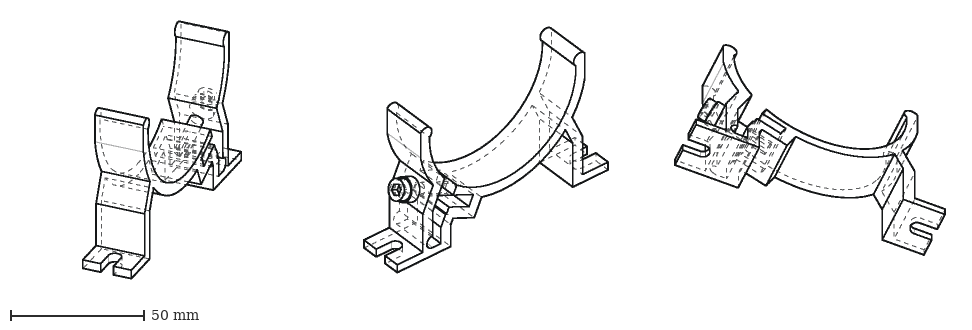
import cadquery as cq
import math

width = 20.0
half_length = 51.0
total_height = 61.5

ring_center_z = 55.1
ring_inner_radius = 35.4
ring_outer_radius = 40.3
half_span = 39.8
bead_radius = 3.0
bead_y = 37.2
bead_z = total_height - bead_radius

foot_thickness = 3.7
wall = 4.8
leg_outer_y = 38.7
leg_inner_y = leg_outer_y - wall
strut_top_z = 33.4
leg_bend_z = 21.6
inner_post_y = 25.1
post_bend_z = 10.3
post_top_z = 16.3
relief_radius = 2.8

slot_width = 5.2
slot_depth = 9.8

tilt = 24.0
screw_tip_y = 17.2
screw_tip_z = 17.8
screw_diameter = 5.3
screw_length = 28.7
head_diameter = 8.6
head_length = 3.5
collar_diameter = 9.8
collar_length = 5.1
hex_across_flats = 4.2
hex_depth = 3.0
channel_width = 5.1
channel_end = 2.1
block_floor_offset = 7.4
block_back = 7.1
block_front = 8.5
block_height = 9.2

lean = math.tan(math.radians(tilt))
bend_drop = wall * math.tan(math.radians(tilt / 2))


def extrude(sketch):
    """Extrude a closed YZ outline over the full width, centred on X = 0."""
    return sketch.extrude(width).translate((-width / 2, 0, 0))


def prism(points):
    return extrude(cq.Workplane("YZ").polyline(points).close())


def cylinder(y, z, radius):
    return extrude(cq.Workplane("YZ").center(y, z).circle(radius))


def tilted(along, up):
    """YZ point from distances along the screw (tip to head) and square to it."""
    c = math.cos(math.radians(tilt))
    s = math.sin(math.radians(tilt))
    return (screw_tip_y + along * c - up * s, screw_tip_z + along * s + up * c)


def tilted_box(along_start, along_end, up_start, up_end):
    corners = [
        (along_start, up_start),
        (along_end, up_start),
        (along_end, up_end),
        (along_start, up_end),
    ]
    return prism([tilted(a, u) for a, u in corners])


def lean_y(y, z_from, z_to):
    """Y reached by a strut face that leans towards the middle."""
    return y - (z_to - z_from) * lean


def make_ring():
    """Solid U-shaped blank with flattened sides, to be bored into the ring."""
    ring = cylinder(0, ring_center_z, ring_outer_radius)
    upper_half = cq.Workplane("XY", origin=(0, 0, ring_center_z))
    ring = ring.cut(upper_half.box(width, 3 * half_span, total_height, centered=(True, True, False)))
    jaws = upper_half.box(width, 2 * half_span, bead_z - ring_center_z, centered=(True, True, False))
    slab = cq.Workplane("XY").box(width, 2 * half_span, 2 * total_height)
    return ring.union(jaws).intersect(slab)


def make_bead(side):
    """Rounded lip at the top of a jaw, flattened flush with the outside."""
    flat = cq.Workplane("XY").box(width, 2 * half_span, 2 * total_height)
    return cylinder(side * bead_y, bead_z, bead_radius).intersect(flat)


def make_strut():
    """Leg on the +Y side: upright from the base, then leaning in to the ring."""
    inner_bend_z = leg_bend_z - bend_drop
    return prism([
        (leg_outer_y, 0),
        (leg_outer_y, leg_bend_z),
        (lean_y(leg_outer_y, leg_bend_z, strut_top_z), strut_top_z),
        (lean_y(leg_inner_y, inner_bend_z, strut_top_z), strut_top_z),
        (leg_inner_y, inner_bend_z),
        (leg_inner_y, 0),
    ])


def make_foot(inner_y):
    """Base plate on the +Y side with an open, round-ended slot."""
    foot = prism([
        (inner_y, 0),
        (half_length, 0),
        (half_length, foot_thickness),
        (inner_y, foot_thickness),
    ])
    slot_center_y = half_length - slot_depth + slot_width / 2
    slot = (
        cq.Workplane("XY")
        .moveTo(-slot_width / 2, half_length)
        .lineTo(-slot_width / 2, slot_center_y)
        .threePointArc((0, half_length - slot_depth), (slot_width / 2, slot_center_y))
        .lineTo(slot_width / 2, half_length)
        .close()
        .extrude(foot_thickness)
    )
    return foot.cut(slot)


def make_inner_post():
    """Post below the socket block, bent parallel to the leaning leg."""
    post_outer_y = inner_post_y + wall
    outer_bend_z = post_bend_z + bend_drop
    return prism([
        (inner_post_y, 0),
        (inner_post_y, post_bend_z),
        (lean_y(inner_post_y, post_bend_z, post_top_z), post_top_z),
        (lean_y(post_outer_y, outer_bend_z, post_top_z), post_top_z),
        (post_outer_y, outer_bend_z),
        (post_outer_y, 0),
    ])


def make_screw():
    """Cap screw with a collar under its head and a hexagon socket."""
    c = math.cos(math.radians(tilt))
    s = math.sin(math.radians(tilt))
    axis = cq.Plane(origin=(0, screw_tip_y, screw_tip_z), xDir=(1, 0, 0), normal=(0, c, s))
    collar_start = screw_length - head_length - collar_length
    screw = cq.Workplane(axis).circle(screw_diameter / 2).extrude(screw_length)
    collar = (
        cq.Workplane(axis).workplane(offset=collar_start)
        .circle(collar_diameter / 2).extrude(collar_length)
    )
    head = (
        cq.Workplane(axis).workplane(offset=screw_length - head_length)
        .circle(head_diameter / 2).extrude(head_length)
    )
    across_corners = hex_across_flats / math.cos(math.radians(30))
    socket = (
        cq.Workplane(axis).workplane(offset=screw_length - hex_depth)
        .transformed(rotate=(0, 0, 90))
        .polygon(6, across_corners).extrude(hex_depth)
    )
    return screw.union(collar).union(head).cut(socket)


ring_gap = prism([
    tilted(block_front, -block_floor_offset),
    tilted(block_front, half_span),
    (lean_y(leg_inner_y, leg_bend_z - bend_drop, ring_center_z), ring_center_z),
    (leg_inner_y, leg_bend_z - bend_drop),
    (leg_inner_y, 0),
])
bore = cylinder(0, ring_center_z, ring_inner_radius)

ring = make_ring().cut(ring_gap)
strut = make_strut()
body = ring.union(strut).union(strut.mirror("XZ"))
body = body.union(make_foot(inner_post_y))
body = body.union(make_foot(leg_inner_y).mirror("XZ"))

block = tilted_box(-block_back, block_front, -block_floor_offset, block_height)
body = body.union(make_inner_post()).union(block).cut(bore)
for side in (-1, 1):
    body = body.union(make_bead(side))

body = body.cut(tilted_box(-channel_end, block_front, -channel_width / 2, channel_width / 2))
body = body.cut(cylinder(leg_inner_y, foot_thickness + relief_radius, relief_radius))

result = body.clean().union(make_screw())